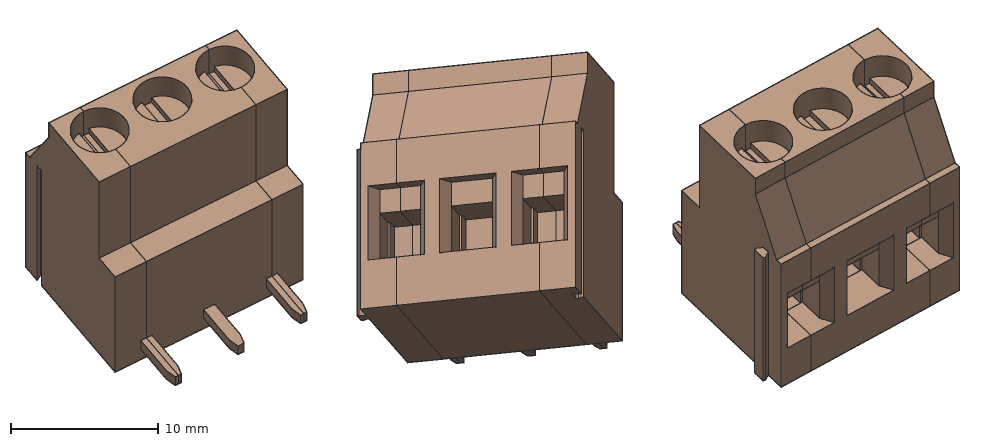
import cadquery as cq


pole_count = 3
pitch = 5.08
row_length = pole_count * pitch
pole_centres = [pitch * (index + 0.5) for index in range(pole_count)]

housing_height = 18.0
base_depth = 11.2
rear_step_height = 10.0
tower_front_x = 2.9
tower_back_x = 9.2
lip_depth = 0.5
lip_height = 12.0
slope_top_height = 16.47

well_diameter = 4.0
well_depth = 2.0
screw_x = 5.35
slot_width = 0.8
slot_depth = 0.5

entry_width = 4.0
entry_bottom = 3.5
entry_top = 8.84
lead_in_depth = 0.94
chamber_width = 2.9
chamber_top = 7.13
chamber_back_x = 2.86
pocket_width = 2.6
pocket_bottom = 3.47
pocket_depth = 1.0

pin_width = 0.9
pin_bottom = 1.1
pin_height = 0.9
pin_tip_x = 15.2
pin_tip_width = 0.5
pin_taper_length = 0.8

dovetail_x = 1.71
dovetail_neck_width = 0.54
dovetail_shoulder_width = 1.06
dovetail_tip_width = 0.97
dovetail_depth = 0.61
dovetail_tip_length = 0.16


def box_between(x_range, y_range, z_range):
    """Box given by its lower and upper limit along each axis."""
    spans = [high - low for low, high in (x_range, y_range, z_range)]
    corner = (x_range[0], y_range[0], z_range[0])
    return cq.Workplane("XY").box(*spans, centered=False).translate(corner)


def centred_range(centre, width):
    return (centre - width / 2, centre + width / 2)


def make_housing():
    outline = [
        (0, 0),
        (base_depth, 0),
        (base_depth, rear_step_height),
        (tower_back_x, rear_step_height),
        (tower_back_x, housing_height),
        (tower_front_x, housing_height),
        (tower_front_x, slope_top_height),
        (lip_depth, lip_height),
        (0, lip_height),
    ]
    return cq.Workplane("XZ").polyline(outline).close().extrude(-row_length)


def make_screw_well(pole_y):
    """Cutter for a round well with the screwdriver slot across its floor."""
    floor_z = housing_height - well_depth
    radius = well_diameter / 2
    well = cq.Workplane("XY", origin=(screw_x, pole_y, floor_z)).circle(radius).extrude(well_depth)
    slot_base = cq.Workplane("XY", origin=(screw_x, pole_y, floor_z - slot_depth))
    slot_bar = slot_base.rect(well_diameter, slot_width).extrude(slot_depth)
    slot_disc = slot_base.circle(radius).extrude(slot_depth)
    return well.union(slot_bar.intersect(slot_disc))


def make_wire_entry(pole_y):
    """Cutter for a narrowing lead-in, then a lower chamber, then a smaller pocket."""
    lead_in = (
        cq.Workplane("XY", origin=(0, pole_y, entry_bottom))
        .polyline([
            (0, -entry_width / 2),
            (lead_in_depth, -chamber_width / 2),
            (lead_in_depth, chamber_width / 2),
            (0, entry_width / 2),
        ])
        .close()
        .extrude(entry_top - entry_bottom)
    )
    chamber = box_between(
        (lead_in_depth, chamber_back_x),
        centred_range(pole_y, chamber_width),
        (entry_bottom, chamber_top),
    )
    pocket = box_between(
        (chamber_back_x, chamber_back_x + pocket_depth),
        centred_range(pole_y, pocket_width),
        (pocket_bottom, chamber_top),
    )
    return lead_in.union(chamber).union(pocket)


def make_pin(pole_y):
    """Flat contact pin whose sides taper toward the tip."""
    taper_start_x = pin_tip_x - pin_taper_length
    return (
        cq.Workplane("XY", origin=(0, pole_y, pin_bottom))
        .polyline([
            (base_depth, -pin_width / 2),
            (taper_start_x, -pin_width / 2),
            (pin_tip_x, -pin_tip_width / 2),
            (pin_tip_x, pin_tip_width / 2),
            (taper_start_x, pin_width / 2),
            (base_depth, pin_width / 2),
        ])
        .close()
        .extrude(pin_height)
    )


def make_dovetail(end_y):
    """Vertical dovetail bar that starts at end_y, widens toward +Y and narrows slightly at its tip."""
    flare_length = dovetail_depth - dovetail_tip_length
    return (
        cq.Workplane("XY", origin=(dovetail_x, end_y, 0))
        .polyline([
            (-dovetail_neck_width / 2, 0),
            (-dovetail_shoulder_width / 2, flare_length),
            (-dovetail_tip_width / 2, dovetail_depth),
            (dovetail_tip_width / 2, dovetail_depth),
            (dovetail_shoulder_width / 2, flare_length),
            (dovetail_neck_width / 2, 0),
        ])
        .close()
        .extrude(lip_height)
    )


def make_complete_block():
    block = make_housing()
    for pole_y in pole_centres:
        block = block.cut(make_screw_well(pole_y))
        block = block.cut(make_wire_entry(pole_y))
        block = block.union(make_pin(pole_y))
    groove = make_dovetail(0)
    rib = make_dovetail(row_length)
    return block.cut(groove).union(rib)


def make_section(block, y_start, y_end):
    """Part of the block between two planes across the row."""
    slab = box_between((0, pin_tip_x), (y_start, y_end), (0, housing_height))
    return block.intersect(slab, clean=False).solids()


complete_block = make_complete_block()
first_split = pole_centres[0]
last_split = pole_centres[-1]

groove_end_section = make_section(complete_block, 0, first_split)
middle_section = make_section(complete_block, first_split, last_split)
rib_end_section = make_section(complete_block, last_split, row_length + dovetail_depth)

result = cq.Compound.makeCompound([
    groove_end_section.val(),
    middle_section.val(),
    rib_end_section.val(),
])